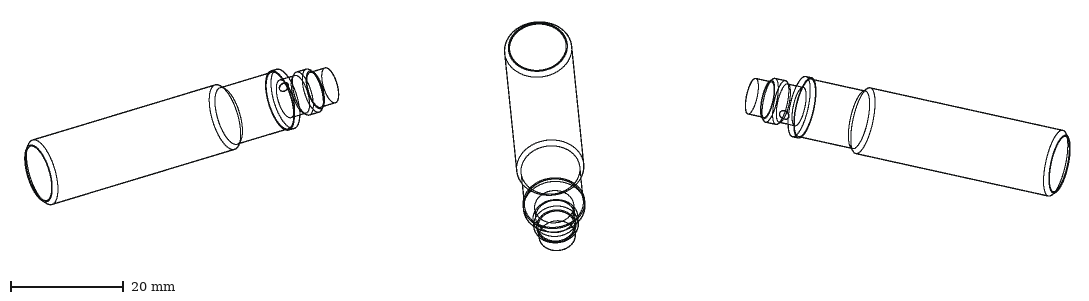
import cadquery as cq

total_length = 58.6
front_recess_diameter = 10.1
front_recess_depth = 0.1
body_diameter = 12.0
sleeve_diameter = 10.5
flange_diameter = 11.0
neck_diameter = 7.0
ring_diameter = 8.0
tip_diameter = 6.5

tip_length = 3.0
ring_length = 3.0
neck_length = 3.0
flange_length = 1.1
sleeve_length = 10.3

body_chamfer = (body_diameter - sleeve_diameter) / 2
ring_chamfer = (ring_diameter - neck_diameter) / 2

lamp_diameter = 1.8
lamp_depth = 0.1

ring_back = total_length - tip_length
ring_front = ring_back - ring_length
flange_back = ring_front - neck_length
flange_front = flange_back - flange_length
body_back = flange_front - sleeve_length
lamp_y = (ring_front + flange_back) / 2


def cylinder(diameter, y_start, y_end):
    """Solid cylinder on the Y axis from y_start to y_end."""
    disc = cq.Workplane("XZ", origin=(0, y_start, 0)).circle(diameter / 2)
    return disc.extrude(y_start - y_end)


def make_barrel():
    """Chamfered main body with a shallow round recess in its front face."""
    body = cylinder(body_diameter, 0, body_back)
    body = body.faces("<Y or >Y").chamfer(body_chamfer)
    return body.cut(cylinder(front_recess_diameter, 0, front_recess_depth))


def make_connector():
    """Sleeve, flange, neck, chamfered ring and tip behind the main body."""
    sleeve = cylinder(sleeve_diameter, body_back, flange_front)
    flange = cylinder(flange_diameter, flange_front, flange_back)
    neck = cylinder(neck_diameter, flange_back, ring_front)
    ring = cylinder(ring_diameter, ring_front, ring_back)
    ring = ring.faces("<Y or >Y").chamfer(ring_chamfer)
    tip = cylinder(tip_diameter, ring_back, total_length)
    return sleeve.union(flange).union(neck).union(ring).union(tip)


def make_lamp_recess():
    """Cutter for the lamp recess, whose floor is curved concentrically with the neck."""
    disc = cq.Workplane("YZ", origin=(0, lamp_y, 0)).circle(lamp_diameter / 2)
    plug = disc.extrude(-neck_diameter)
    floor = cylinder(neck_diameter - 2 * lamp_depth, flange_back, ring_front)
    return plug.cut(floor)


result = make_barrel().union(make_connector()).cut(make_lamp_recess())